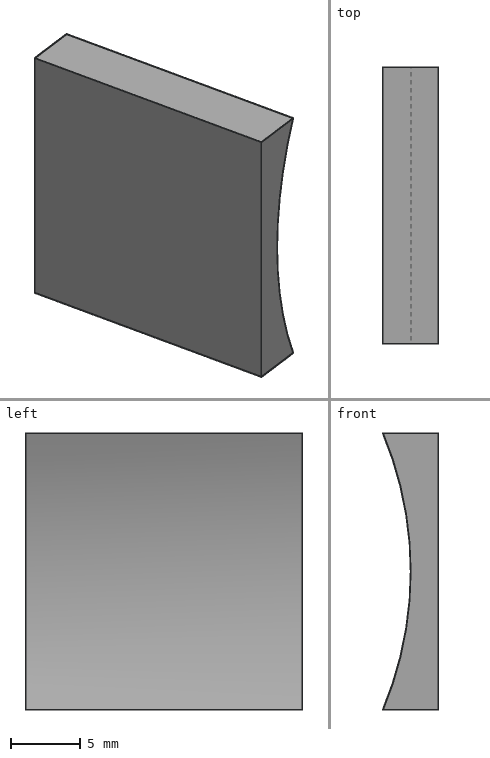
import cadquery as cq
import math

height = 20.0
length = 20.0
center_thickness = 2.0
surface_radius = 25.84

half_height = height / 2
sag = surface_radius - math.sqrt(surface_radius**2 - half_height**2)

edge_x = -sag
back_x = center_thickness


def make_lens():
    """Extrude the lens profile along Y, centred on the XZ plane."""
    profile = (
        cq.Workplane("XZ")
        .moveTo(edge_x, -half_height)
        .lineTo(back_x, -half_height)
        .lineTo(back_x, half_height)
        .lineTo(edge_x, half_height)
        .threePointArc((0, 0), (edge_x, -half_height))
        .close()
    )
    return profile.extrude(length / 2, both=True)


result = make_lens()